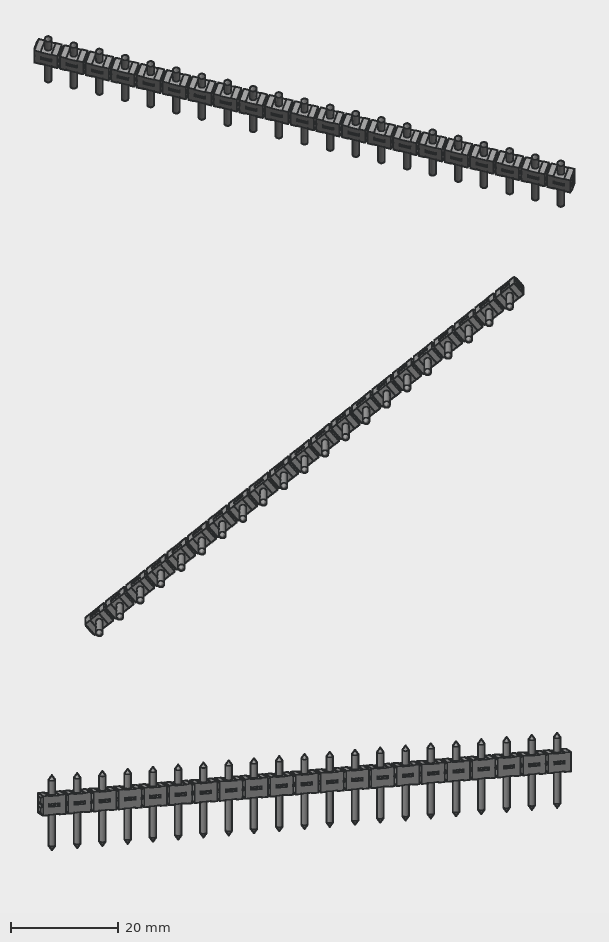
import cadquery as cq

position_count = 21
row_length = 105.0
pitch = row_length / position_count

taper_length = 0.25
block_length = pitch - 2 * taper_length
block_width = 2.8
block_height = 3.8

stub_base_height = block_height / 2
stub_face_width = 1.7
stub_face_height = 1.0

window_length = 2.1
window_height = 0.5
relief_depth = 0.1

pin_radius = 0.65
pin_length = 14.5
pin_above_block = 3.6
tip_length = 0.9


def make_block():
    block = cq.Workplane("XY").box(block_length, block_width, block_height)
    window = cq.Workplane("XY").box(window_length, block_width, window_height)
    relief = cq.Workplane("XY").box(window_length, block_width, 2 * relief_depth)
    block = block.cut(window)
    for level in (-1, 1):
        block = block.cut(relief.translate((0, 0, level * block_height / 2)))
    return block


def make_stub(side, level):
    """Frustum on one end of the block; side is -1 or +1 along X, level along Z."""
    end_plane = cq.Plane(
        origin=(side * block_length / 2, 0, level * stub_base_height / 2),
        xDir=(0, 1, 0),
        normal=(side, 0, 0),
    )
    return (
        cq.Workplane(end_plane)
        .rect(block_width, stub_base_height)
        .workplane(offset=taper_length)
        .rect(stub_face_width, stub_face_height)
        .loft(ruled=True)
    )


def make_pin():
    top = block_height / 2 + pin_above_block
    bottom = top - pin_length
    profile = [
        (0, bottom),
        (pin_radius, bottom + tip_length),
        (pin_radius, top - tip_length),
        (0, top),
    ]
    return cq.Workplane("XZ").polyline(profile).close().revolve(360, (0, 0, 0), (0, 1, 0))


position = make_block().union(make_pin())
for side in (-1, 1):
    for level in (-1, 1):
        position = position.union(make_stub(side, level))

first_x = (pitch - row_length) / 2
result = position.translate((first_x, 0, 0))
for index in range(1, position_count):
    result = result.union(position.translate((first_x + index * pitch, 0, 0)))